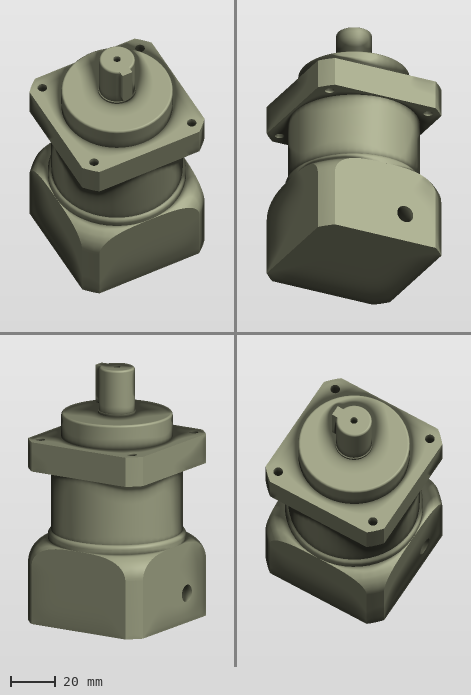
import cadquery as cq
import math

square_width = 62.0
corner_diameter = 80.0

housing_height = 37.0
ring_height = 41.05
flange_bottom = 70.5
flange_top = 84.0
pilot_top = 95.0
collar_top = 96.0
shaft_top = 116.0

body_diameter = 59.0
ring_round = 2.05
pilot_diameter = 50.0
pilot_round = 1.0
collar_diameter = 17.0
shaft_diameter = 16.0
shaft_round = 1.0
shoulder_round = 10.0

key_width = 5.0
key_bottom = 98.0
key_floor_x = 5.0
key_outer_x = 10.0

bolt_circle_diameter = 70.0
bolt_hole_diameter = 4.3
shaft_hole_diameter = 3.3
shaft_hole_depth = 10.0
shaft_hole_tip_angle = 118.0
side_hole_diameter = 8.0
side_hole_y = -10.0
side_hole_z = 13.5
side_hole_depth = 16.0
side_hole_floor_radius = 8.5


def disc(diameter, bottom, top):
    """Upright cylinder on the part axis."""
    return cq.Workplane("XY").workplane(offset=bottom).circle(diameter / 2).extrude(top - bottom)


def square_block(bottom, top):
    """Upright square prism on the part axis."""
    return cq.Workplane("XY").workplane(offset=bottom).rect(square_width, square_width).extrude(top - bottom)


def make_housing():
    """Square housing trimmed by a cylinder whose top edge is rounded."""
    trim = disc(corner_diameter, 0, housing_height).faces(">Z").edges().fillet(shoulder_round)
    return square_block(0, housing_height).intersect(trim)


def make_ring():
    """Round shoulder that carries the body on the housing."""
    return disc(square_width, housing_height, ring_height).faces(">Z").edges().fillet(ring_round)


def make_flange():
    """Square mounting flange with trimmed corners and four bolt holes."""
    flange = square_block(flange_bottom, flange_top).intersect(
        disc(corner_diameter, flange_bottom, flange_top)
    )
    bolt_spacing = bolt_circle_diameter / math.sqrt(2)
    bolt_holes = (
        cq.Workplane("XY")
        .workplane(offset=flange_bottom)
        .rect(bolt_spacing, bolt_spacing, forConstruction=True)
        .vertices()
        .circle(bolt_hole_diameter / 2)
        .extrude(flange_top - flange_bottom)
    )
    return flange.cut(bolt_holes)


def make_pilot():
    """Centring disc on top of the flange."""
    return disc(pilot_diameter, flange_top, pilot_top).faces(">Z").edges().fillet(pilot_round)


def make_shaft():
    """Output shaft with its collar."""
    collar = disc(collar_diameter, pilot_top, collar_top)
    shaft = disc(shaft_diameter, pilot_top, shaft_top).faces(">Z").edges().fillet(shaft_round)
    return collar.union(shaft)


def make_key():
    """Key on the +X side of the shaft, rounded at its lower end and flush with the shaft top."""
    half_width = key_width / 2
    round_center_z = key_bottom + half_width
    return (
        cq.Workplane("YZ")
        .workplane(offset=key_floor_x)
        .moveTo(half_width, shaft_top)
        .lineTo(-half_width, shaft_top)
        .lineTo(-half_width, round_center_z)
        .threePointArc((0, key_bottom), (half_width, round_center_z))
        .close()
        .extrude(key_outer_x - key_floor_x)
    )


def shaft_hole_cutter():
    """Drilled hole in the shaft end, with a conical tip below its full depth."""
    radius = shaft_hole_diameter / 2
    full_depth_z = shaft_top - shaft_hole_depth
    tip_length = radius / math.tan(math.radians(shaft_hole_tip_angle / 2))
    return (
        cq.Workplane("XZ")
        .moveTo(0, shaft_top)
        .lineTo(radius, shaft_top)
        .lineTo(radius, full_depth_z)
        .lineTo(0, full_depth_z - tip_length)
        .close()
        .revolve(360, (0, 0), (0, 1))
    )


def side_hole_cutter():
    """Blind hole in the -X face, ending on an upright cylindrical floor."""
    entry_x = -square_width / 2
    floor_axis_x = entry_x + side_hole_depth - side_hole_floor_radius
    bore = (
        cq.Workplane("YZ")
        .workplane(offset=entry_x)
        .center(side_hole_y, side_hole_z)
        .circle(side_hole_diameter / 2)
        .extrude(side_hole_depth)
    )
    limit = (
        cq.Workplane("XY")
        .workplane(offset=side_hole_z - side_hole_diameter)
        .moveTo(entry_x, side_hole_y + side_hole_floor_radius)
        .lineTo(floor_axis_x, side_hole_y + side_hole_floor_radius)
        .threePointArc(
            (entry_x + side_hole_depth, side_hole_y),
            (floor_axis_x, side_hole_y - side_hole_floor_radius),
        )
        .lineTo(entry_x, side_hole_y - side_hole_floor_radius)
        .close()
        .extrude(2 * side_hole_diameter)
    )
    return bore.intersect(limit)


body = disc(body_diameter, housing_height, flange_bottom)

result = (
    make_housing()
    .union(make_ring())
    .union(body)
    .union(make_flange())
    .union(make_pilot())
    .union(make_shaft())
    .union(make_key())
    .cut(shaft_hole_cutter())
    .cut(side_hole_cutter())
)